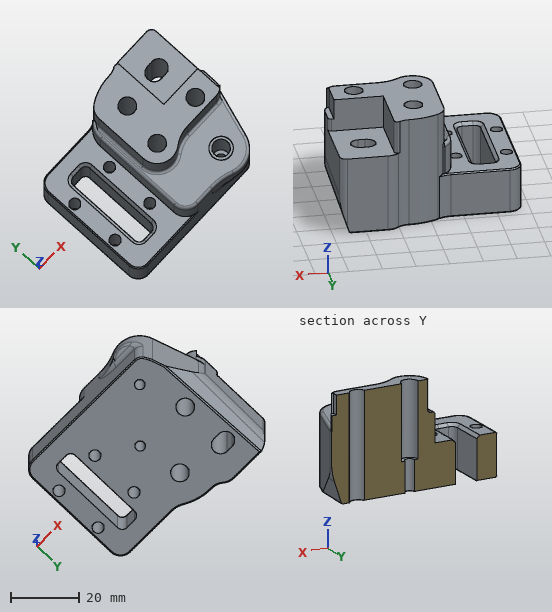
import cadquery as cq
import math

PLATE_TOP = 14.0
SHELF_TOP = 23.6
NOTCH_FLOOR = 24.0
LEDGE_TOP = 27.85
TOP = 34.0

PLATE_BACK = 40.0
SHELF_LEFT = 20.55
TOWER_LEFT = 23.0
TOWER_FRONT = 16.4
TOWER_BACK = 45.95
RIGHT = 55.3

PLATE_CORNER = 4.0
SHELF_FRONT_CORNER = 5.0
SHELF_BACK_CORNER = 6.95
TOWER_BACK_CORNER = 5.0
TOWER_FRONT_CORNER = 4.0
SHELF_RIGHT_CORNER = 8.5
RIGHT_BACK_CORNER = 2.0
PLATE_BLEND = 6.95
BACK_BLEND = 5.0
TOWER_BLEND = 11.05
LUG_BLEND = 20.0

BACK_CENTRE = (34.3, 25.6)
BACK_RADIUS = 17.9
LUG_CENTRE = (42.35, 6.3)
LUG_RADIUS = 8.35
NOSE_CENTRE = (29.1, 19.45)
NOSE_RADIUS = NOSE_CENTRE[0] - TOWER_LEFT
STEP_CENTRE = (41.2, TOWER_BACK - BACK_BLEND)
TOWER_CORNER_CENTRE = (RIGHT - TOWER_FRONT_CORNER, TOWER_FRONT + TOWER_FRONT_CORNER)
SHELF_CORNER_CENTRE = (RIGHT - SHELF_RIGHT_CORNER, 20.55)

EDGE_CHAMFER = 0.4
SHELF_EDGE_FILLET = 1.0
TOWER_FOOT_FILLET = 0.95
LUG_EDGE_FILLET = 3.0

HOLLOW_START = 11.45
HOLLOW_END_RADIUS = 6.95
HOLLOW_ARC_RADIUS = 10.5
HOLLOW_ARC_RISE = 4.25
HOLLOW_DEPTH = 3.3

RELIEF_START = 11.35
RELIEF_RADIUS = 20.0
RELIEF_ANGLE = math.radians(18.4)
RELIEF_TILT = 5.0

NOTCH_LEFT = 39.0
NOTCH_FRONT = 25.95
TOWER_TOP_BACK = 44.35
NOTCH_BACK_FILLET = 0.65
NOTCH_RIGHT_FILLET = 1.0
LEDGE_LEFT = 53.65
LEDGE_FRONT = 17.8

WINDOW_CENTRE = (10.3, 20.0)
WINDOW_SIZE = (7.0, 28.0)
WINDOW_CORNER = 1.9
WINDOW_CHAMFER = 1.0
PLATE_HOLE = 3.5
PLATE_HOLE_SPACING = (15.0, 16.0)

MOUNT_HOLE = 5.4
MOUNT_CENTRES = [(31.4, 33.45), SHELF_CORNER_CENTRE]
SLOT_CENTRE = (SHELF_CORNER_CENTRE[0], 36.0)
SLOT_LENGTH = 7.4
SCREW_HOLE = 3.05
SCREW_HEAD_HOLE = 5.35
SCREW_HEAD_FLOOR = 9.95
PAD_DIAMETER = 7.15

OVERCUT = 0.55


def on_circle(centre, radius, towards):
    """Point of a circle in the direction of another point."""
    dx = towards[0] - centre[0]
    dy = towards[1] - centre[1]
    scale = radius / math.hypot(dx, dy)
    return (centre[0] + dx * scale, centre[1] + dy * scale)


def reach(hypotenuse, leg):
    """Other leg of a right triangle."""
    return math.sqrt(hypotenuse**2 - leg**2)


def upper_crossing(left_centre, left_radius, right_centre, right_radius):
    """Crossing point of two circles that lies above the line from the left to the right centre."""
    distance = math.dist(left_centre, right_centre)
    along = (distance**2 + left_radius**2 - right_radius**2) / (2 * distance)
    height = reach(left_radius, along)
    ux = (right_centre[0] - left_centre[0]) / distance
    uy = (right_centre[1] - left_centre[1]) / distance
    return (left_centre[0] + along * ux - height * uy, left_centre[1] + along * uy + height * ux)


def outline(start, steps):
    """Closed outline; each step is an end point and an arc centre, or None for a straight line."""
    sketch = cq.Workplane("XY").moveTo(*start)
    here = start
    for end, centre in steps:
        if centre is None:
            sketch = sketch.lineTo(*end)
        else:
            chord_middle = ((here[0] + end[0]) / 2, (here[1] + end[1]) / 2)
            middle = on_circle(centre, math.dist(centre, end), chord_middle)
            sketch = sketch.threePointArc(middle, end)
        here = end
    return sketch.close()


def back_corner(left, radius):
    """Centre of the corner arc that joins a straight left side to the round back wall."""
    x = left + radius
    return (x, BACK_CENTRE[1] + reach(BACK_RADIUS - radius, BACK_CENTRE[0] - x))


def back_corner_end(left, radius):
    """Point where that corner arc runs into the round back wall."""
    return on_circle(BACK_CENTRE, BACK_RADIUS, back_corner(left, radius))


def box_between(low, high):
    """Box between two opposite corners."""
    size = [b - a for a, b in zip(low, high)]
    return cq.Workplane("XY").box(*size, centered=False).translate(low)


centre_offset = [b - a for a, b in zip(LUG_CENTRE, SHELF_CORNER_CENTRE)]
slant_normal = math.atan2(centre_offset[1], centre_offset[0]) - math.acos(
    (LUG_RADIUS - SHELF_RIGHT_CORNER) / math.hypot(*centre_offset)
)


def slant_point(centre, radius):
    """Point where the slanted side touches a circle."""
    return (centre[0] + radius * math.cos(slant_normal), centre[1] + radius * math.sin(slant_normal))


lug_blend_centre = (
    LUG_CENTRE[0] - reach(LUG_BLEND + LUG_RADIUS, LUG_CENTRE[1] + LUG_BLEND),
    -LUG_BLEND,
)


def build_plate():
    blend_y = PLATE_BACK + PLATE_BLEND
    blend_x = BACK_CENTRE[0] - reach(BACK_RADIUS + PLATE_BLEND, blend_y - BACK_CENTRE[1])
    blend_centre = (blend_x, blend_y)
    r = PLATE_CORNER
    plate = outline(
        (r, 0),
        [
            ((BACK_CENTRE[0], 0), None),
            (BACK_CENTRE, None),
            (on_circle(BACK_CENTRE, BACK_RADIUS, blend_centre), None),
            ((blend_x, PLATE_BACK), blend_centre),
            ((r, PLATE_BACK), None),
            ((0, PLATE_BACK - r), (r, PLATE_BACK - r)),
            ((0, r), None),
            ((r, 0), (r, r)),
        ],
    ).extrude(PLATE_TOP)
    return plate.faces(">Z").chamfer(EDGE_CHAMFER)


hollow_arc_depth = HOLLOW_ARC_RADIUS - reach(HOLLOW_ARC_RADIUS, HOLLOW_ARC_RISE)
hollow_middle_depth = HOLLOW_ARC_RADIUS - reach(HOLLOW_ARC_RADIUS, HOLLOW_ARC_RISE / 2)
hollow_slope = reach(HOLLOW_ARC_RADIUS, HOLLOW_ARC_RISE) / HOLLOW_ARC_RISE


def lug_underside(left, right):
    """Space in front of the front side and below the overhanging underside of the lug."""
    arc_middle = (-hollow_middle_depth, HOLLOW_START + HOLLOW_ARC_RISE / 2)
    arc_end = (-hollow_arc_depth, HOLLOW_START + HOLLOW_ARC_RISE)
    slope_end = arc_end[1] + (HOLLOW_DEPTH - hollow_arc_depth) * hollow_slope
    return (
        cq.Workplane("YZ", origin=(left, 0, 0))
        .moveTo(0, -OVERCUT)
        .lineTo(0, HOLLOW_START)
        .threePointArc(arc_middle, arc_end)
        .lineTo(-HOLLOW_DEPTH, slope_end)
        .lineTo(-HOLLOW_DEPTH, -OVERCUT)
        .close()
        .extrude(right - left)
    )


def lug_underside_end(left):
    """Rounded left end of that space, with the same section turned about an axis along Y."""
    turn_x = left + HOLLOW_END_RADIUS
    turn_z = HOLLOW_START + HOLLOW_END_RADIUS
    tip_radius = HOLLOW_END_RADIUS - HOLLOW_ARC_RISE
    arc_middle = (HOLLOW_END_RADIUS - HOLLOW_ARC_RISE / 2, -hollow_middle_depth)
    kept = (
        cq.Workplane("XY", origin=(turn_x, 0, turn_z))
        .lineTo(HOLLOW_END_RADIUS, 0)
        .threePointArc(arc_middle, (tip_radius, -hollow_arc_depth))
        .lineTo(0, -hollow_arc_depth - tip_radius / hollow_slope)
        .close()
        .revolve(360, (0, 0, 0), (0, 1, 0))
    )
    return box_between((left, -HOLLOW_DEPTH, -OVERCUT), (turn_x, 0, turn_z)).cut(kept)


def lug_rim_waste():
    """Material that rounding the rim of the underside takes off the lug."""
    x, y = LUG_CENTRE
    sharp = cq.Workplane("XY").center(x, y).circle(LUG_RADIUS).extrude(SHELF_TOP)
    sharp = sharp.cut(lug_underside(x - 2 * LUG_RADIUS, x + 2 * LUG_RADIUS))
    rim_x = x + reach(LUG_RADIUS, y)
    rim = cq.selectors.NearestToPointSelector((rim_x, 0, HOLLOW_START / 2))
    blend_end = on_circle(LUG_CENTRE, LUG_RADIUS, lug_blend_centre)
    beside_blend = box_between((blend_end[0], -HOLLOW_DEPTH, -OVERCUT), (RIGHT, y, SHELF_TOP))
    return sharp.cut(sharp.edges(rim).fillet(LUG_EDGE_FILLET)).intersect(beside_blend)


def shelf_outline():
    front_r = SHELF_FRONT_CORNER
    back_centre = back_corner(SHELF_LEFT, SHELF_BACK_CORNER)
    back_end = back_corner_end(SHELF_LEFT, SHELF_BACK_CORNER)
    return outline(
        (SHELF_LEFT + front_r, 0),
        [
            ((lug_blend_centre[0], 0), None),
            (on_circle(LUG_CENTRE, LUG_RADIUS, lug_blend_centre), lug_blend_centre),
            (slant_point(LUG_CENTRE, LUG_RADIUS), LUG_CENTRE),
            (slant_point(SHELF_CORNER_CENTRE, SHELF_RIGHT_CORNER), None),
            ((RIGHT, SHELF_CORNER_CENTRE[1]), SHELF_CORNER_CENTRE),
            ((RIGHT, NOTCH_FRONT), None),
            (back_end, None),
            ((SHELF_LEFT, back_centre[1]), back_centre),
            ((SHELF_LEFT, front_r), None),
            ((SHELF_LEFT + front_r, 0), (SHELF_LEFT + front_r, front_r)),
        ],
    )


def build_shelf():
    shelf = shelf_outline().extrude(SHELF_TOP)
    shelf = shelf.faces(">Z").edges().fillet(SHELF_EDGE_FILLET)
    hollow_left = lug_blend_centre[0]
    shelf = shelf.cut(lug_underside_end(hollow_left))
    shelf = shelf.cut(lug_underside(hollow_left + HOLLOW_END_RADIUS, RIGHT))
    return shelf.cut(lug_rim_waste())


def tower_outline():
    nose_blend_y = TOWER_FRONT - TOWER_BLEND
    nose_blend_x = NOSE_CENTRE[0] + reach(NOSE_RADIUS + TOWER_BLEND, NOSE_CENTRE[1] - nose_blend_y)
    nose_blend = (nose_blend_x, nose_blend_y)
    step_blend = upper_crossing(BACK_CENTRE, BACK_RADIUS + BACK_BLEND, STEP_CENTRE, 2 * BACK_BLEND)
    left_centre = back_corner(TOWER_LEFT, TOWER_BACK_CORNER)
    right_x = RIGHT - RIGHT_BACK_CORNER
    right_y = TOWER_BACK - RIGHT_BACK_CORNER
    nose_bottom = (NOSE_CENTRE[0], NOSE_CENTRE[1] - NOSE_RADIUS)
    return outline(
        (TOWER_LEFT, NOSE_CENTRE[1]),
        [
            (nose_bottom, NOSE_CENTRE),
            (on_circle(NOSE_CENTRE, NOSE_RADIUS, nose_blend), NOSE_CENTRE),
            ((nose_blend_x, TOWER_FRONT), nose_blend),
            ((TOWER_CORNER_CENTRE[0], TOWER_FRONT), None),
            ((RIGHT, TOWER_CORNER_CENTRE[1]), TOWER_CORNER_CENTRE),
            ((RIGHT, right_y), None),
            ((right_x, TOWER_BACK), (right_x, right_y)),
            ((STEP_CENTRE[0], TOWER_BACK), None),
            (on_circle(STEP_CENTRE, BACK_BLEND, step_blend), STEP_CENTRE),
            (on_circle(BACK_CENTRE, BACK_RADIUS, step_blend), step_blend),
            (back_corner_end(TOWER_LEFT, TOWER_BACK_CORNER), BACK_CENTRE),
            ((TOWER_LEFT, left_centre[1]), left_centre),
            ((TOWER_LEFT, NOSE_CENTRE[1]), None),
        ],
    )


def tower_foot():
    """Concave fillet around the foot of the tower, kept to the flat part of the shelf."""
    ground = box_between((-RIGHT, -RIGHT, -OVERCUT), (2 * RIGHT, 2 * RIGHT, 0))
    foot = ground.union(tower_outline().extrude(2 * TOWER_FOOT_FILLET))
    foot_edges = cq.selectors.BoxSelector((0, 0, -OVERCUT / 2), (RIGHT + OVERCUT, RIGHT, OVERCUT / 2))
    foot = foot.edges(foot_edges).fillet(TOWER_FOOT_FILLET)
    foot = foot.cut(ground).translate((0, 0, SHELF_TOP))
    flat_top = shelf_outline().offset2D(-SHELF_EDGE_FILLET).extrude(TOP)
    return foot.intersect(flat_top)


def build_tower():
    tower = tower_outline().extrude(TOP).union(tower_foot())
    far = RIGHT + OVERCUT
    for low_x, low_y in [(NOTCH_LEFT, NOTCH_FRONT), (0, TOWER_TOP_BACK)]:
        tower = tower.cut(box_between((low_x, low_y, NOTCH_FLOOR), (far, far, far)))
    middle_z = (NOTCH_FLOOR + TOP) / 2
    for x, y, radius in [
        (NOTCH_LEFT, TOWER_TOP_BACK, NOTCH_BACK_FILLET),
        (RIGHT, NOTCH_FRONT, NOTCH_RIGHT_FILLET),
    ]:
        corner = cq.selectors.NearestToPointSelector((x, y, middle_z))
        tower = tower.edges(corner).fillet(radius)
    return tower.cut(box_between((LEDGE_LEFT, LEDGE_FRONT, LEDGE_TOP), (far, far, far)))


def side_relief():
    """Space outside the curved and sloping lower part of the right side, rising towards the front."""

    def arc_point(angle):
        inset = RELIEF_RADIUS * (1 - math.cos(angle))
        return (RIGHT - inset, RELIEF_START - RELIEF_RADIUS * math.sin(angle))

    arc_end = arc_point(RELIEF_ANGLE)
    bottom = -RELIEF_START
    slope_end = arc_end[0] - (arc_end[1] - bottom) * math.tan(RELIEF_ANGLE)
    relief = (
        cq.Workplane("XZ", origin=(0, TOWER_BACK, 0))
        .moveTo(RIGHT, RELIEF_START)
        .threePointArc(arc_point(RELIEF_ANGLE / 2), arc_end)
        .lineTo(slope_end, bottom)
        .lineTo(RIGHT + OVERCUT, bottom)
        .lineTo(RIGHT + OVERCUT, RELIEF_START)
        .close()
        .extrude(RIGHT, both=True)
    )
    return relief.rotate((0, TOWER_BACK, 0), (1, TOWER_BACK, 0), -RELIEF_TILT)


def round_holes(diameter, centres, low=-OVERCUT, high=TOP + OVERCUT):
    """Upright cylinders between two levels."""
    holes = cq.Workplane("XY", origin=(0, 0, low)).pushPoints(centres)
    return holes.circle(diameter / 2).extrude(high - low)


def window_opening():
    """Rounded rectangular window with a sloping rim at the plate top."""
    window = cq.Workplane("XY", origin=(*WINDOW_CENTRE, 0)).rect(*WINDOW_SIZE).extrude(PLATE_TOP)
    window = window.edges("|Z").fillet(WINDOW_CORNER)
    rim_sketch = cq.Sketch().rect(*[side + 2 * WINDOW_CHAMFER for side in WINDOW_SIZE])
    rim_sketch = rim_sketch.vertices().fillet(WINDOW_CORNER + WINDOW_CHAMFER)
    rim = cq.Workplane("XY", origin=(*WINDOW_CENTRE, PLATE_TOP)).placeSketch(rim_sketch)
    return window.union(rim.extrude(-WINDOW_CHAMFER, taper=45))


def plate_holes():
    """Four small holes around the window."""
    grid = cq.Workplane("XY", origin=(*WINDOW_CENTRE, -OVERCUT)).rarray(*PLATE_HOLE_SPACING, 2, 2)
    return grid.circle(PLATE_HOLE / 2).extrude(TOP)


def mount_slot():
    slot = cq.Workplane("XY", origin=(*SLOT_CENTRE, -OVERCUT))
    return slot.slot2D(SLOT_LENGTH, MOUNT_HOLE).extrude(TOP)


body = build_plate().union(build_shelf()).union(build_tower())
body = body.cut(side_relief())
body = body.faces("<Z").chamfer(EDGE_CHAMFER)
body = body.union(round_holes(PAD_DIAMETER, [LUG_CENTRE], SHELF_TOP - OVERCUT, NOTCH_FLOOR))

body = body.cut(window_opening()).cut(plate_holes())
body = body.cut(mount_slot()).cut(round_holes(MOUNT_HOLE, MOUNT_CENTRES))
screw_centres = [NOSE_CENTRE, LUG_CENTRE]
body = body.cut(round_holes(SCREW_HOLE, screw_centres))
result = body.cut(round_holes(SCREW_HEAD_HOLE, screw_centres, SCREW_HEAD_FLOOR))